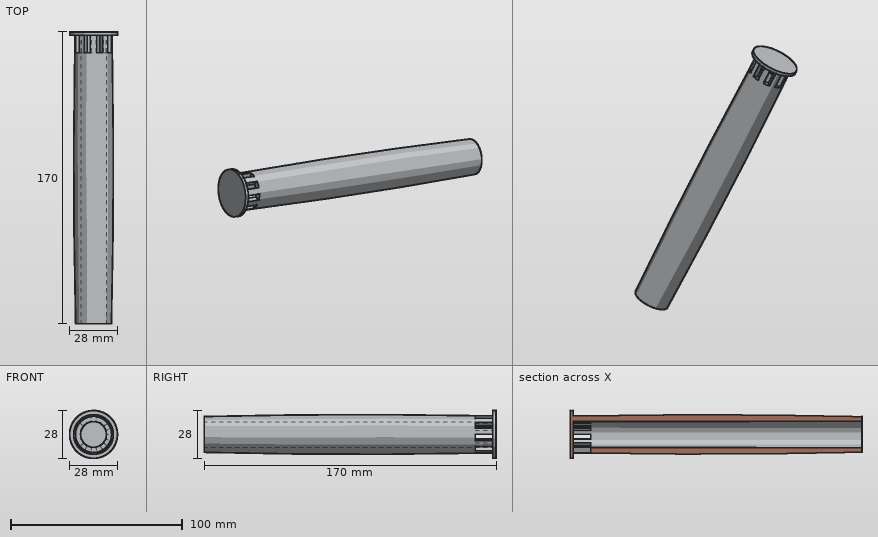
import cadquery as cq
import math

total_length = 170.0
flange_diameter = 28.0
flange_thickness = 2.0
bore_diameter = 15.0

bar_count = 9
bar_length = 10.0
cage_radius = 11.0
bar_angle = 20.0
window_start = 20.0

open_end_radius = 10.5
belly_radius = 11.6

bore_radius = bore_diameter / 2
flange_radius = flange_diameter / 2
flange_face_y = total_length - flange_thickness
tube_end_y = flange_face_y - bar_length
bar_pitch = 360.0 / bar_count
window_angle = bar_pitch - bar_angle


def turned_body():
    """Tube, plain cage sleeve and closed flange, revolved about Y."""
    half_section = (
        cq.Workplane("XY")
        .moveTo(bore_radius, flange_face_y)
        .lineTo(0, flange_face_y)
        .lineTo(0, total_length)
        .lineTo(flange_radius, total_length)
        .lineTo(flange_radius, flange_face_y)
        .lineTo(cage_radius, flange_face_y)
        .lineTo(cage_radius, tube_end_y)
        .threePointArc((belly_radius, tube_end_y / 2), (open_end_radius, 0))
        .lineTo(bore_radius, 0)
        .close()
    )
    return half_section.revolve(360, (0, 0, 0), (0, 1, 0))


def window_cutter(start_angle):
    """Wedge with radial sides that opens one window between two bars."""
    reach = flange_radius
    corners = [(0, 0)]
    for angle in (start_angle, start_angle + window_angle):
        radians = math.radians(angle)
        corners.append((reach * math.cos(radians), reach * math.sin(radians)))
    return (
        cq.Workplane("XZ", origin=(0, tube_end_y, 0))
        .polyline(corners)
        .close()
        .extrude(-bar_length)
    )


result = turned_body()
for index in range(bar_count):
    result = result.cut(window_cutter(window_start + index * bar_pitch))